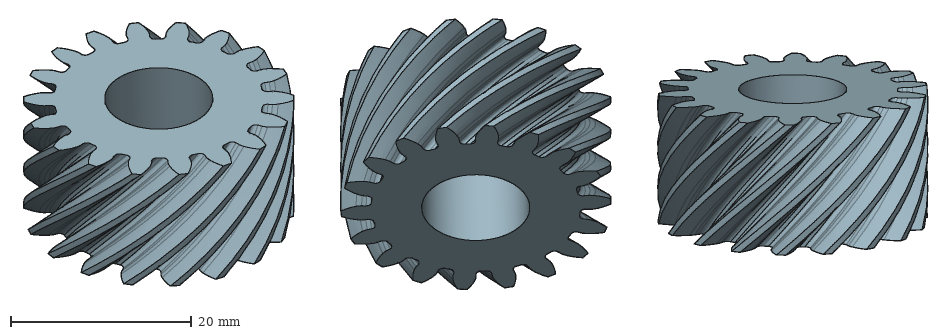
import cadquery as cq
import math


tooth_count = 18
module = 1.5
pressure_angle = 20.0
helix_angle = 45.0
face_width = 15.0
bore_diameter = 12.0
dedendum = 1.25 * module
root_fillet = 0.38 * module
points_per_flank_half = 4

pitch_radius = module * tooth_count / 2
tip_radius = pitch_radius + module
root_radius = pitch_radius - dedendum
base_radius = pitch_radius * math.cos(math.radians(pressure_angle))

tooth_pitch = 2 * math.pi / tooth_count
pressure = math.radians(pressure_angle)
base_half_angle = tooth_pitch / 4 + math.tan(pressure) - pressure
tip_roll = math.sqrt((tip_radius / base_radius) ** 2 - 1)

fillet_center_radius = root_radius + root_fillet
fillet_turn = math.asin(root_fillet / fillet_center_radius)
fillet_top_radius = fillet_center_radius * math.cos(fillet_turn)
root_half_angle = base_half_angle + fillet_turn

twist = math.degrees(face_width * math.tan(math.radians(helix_angle)) / pitch_radius)


def polar(radius, angle):
    """Point at a radius and an angle about the gear axis."""
    return (radius * math.cos(angle), radius * math.sin(angle))


def involute_point(roll, center, side):
    """Flank point of the tooth at angle center; side is -1 or 1, roll is 0 on the base circle."""
    half_angle = base_half_angle - (roll - math.atan(roll))
    return polar(base_radius * math.hypot(1, roll), center + side * half_angle)


def add_flank(outline, center, side):
    """Add an involute flank as two curves meeting at half roll; it climbs for side -1, descends for 1."""
    count = 2 * points_per_flank_half
    flank = [involute_point(tip_roll * i / count, center, side) for i in range(count + 1)]
    if side > 0:
        flank.reverse()
    outline = outline.spline(flank[1:points_per_flank_half + 1], includeCurrent=True)
    return outline.spline(flank[points_per_flank_half + 1:], includeCurrent=True)


def fillet_middle(center, side):
    """Middle point of the root fillet arc beside the tooth at angle center."""
    x, y = polar(fillet_center_radius, center + side * root_half_angle)
    half_sweep = (math.pi / 2 - fillet_turn) / 2
    dx, dy = polar(root_fillet, center + side * (root_half_angle - math.pi + half_sweep))
    return (x + dx, y + dy)


def add_tooth(outline, center):
    """Add one tooth and the root arc that follows it, going counterclockwise."""
    outline = outline.threePointArc(
        fillet_middle(center, -1), polar(fillet_top_radius, center - base_half_angle)
    )
    outline = outline.lineTo(*involute_point(0, center, -1))
    outline = add_flank(outline, center, -1)
    outline = outline.threePointArc(polar(tip_radius, center), involute_point(tip_roll, center, 1))
    outline = add_flank(outline, center, 1)
    outline = outline.lineTo(*polar(fillet_top_radius, center + base_half_angle))
    outline = outline.threePointArc(
        fillet_middle(center, 1), polar(root_radius, center + root_half_angle)
    )
    gap_center = center + tooth_pitch / 2
    next_tooth_start = center + tooth_pitch - root_half_angle
    return outline.threePointArc(
        polar(root_radius, gap_center), polar(root_radius, next_tooth_start)
    )


outline = cq.Workplane("XY").moveTo(*polar(root_radius, -root_half_angle))
for index in range(tooth_count):
    outline = add_tooth(outline, index * tooth_pitch)
gear_body = outline.close().twistExtrude(face_width, twist)

bore = cq.Workplane("XY").circle(bore_diameter / 2).extrude(face_width)

result = gear_body.cut(bore)